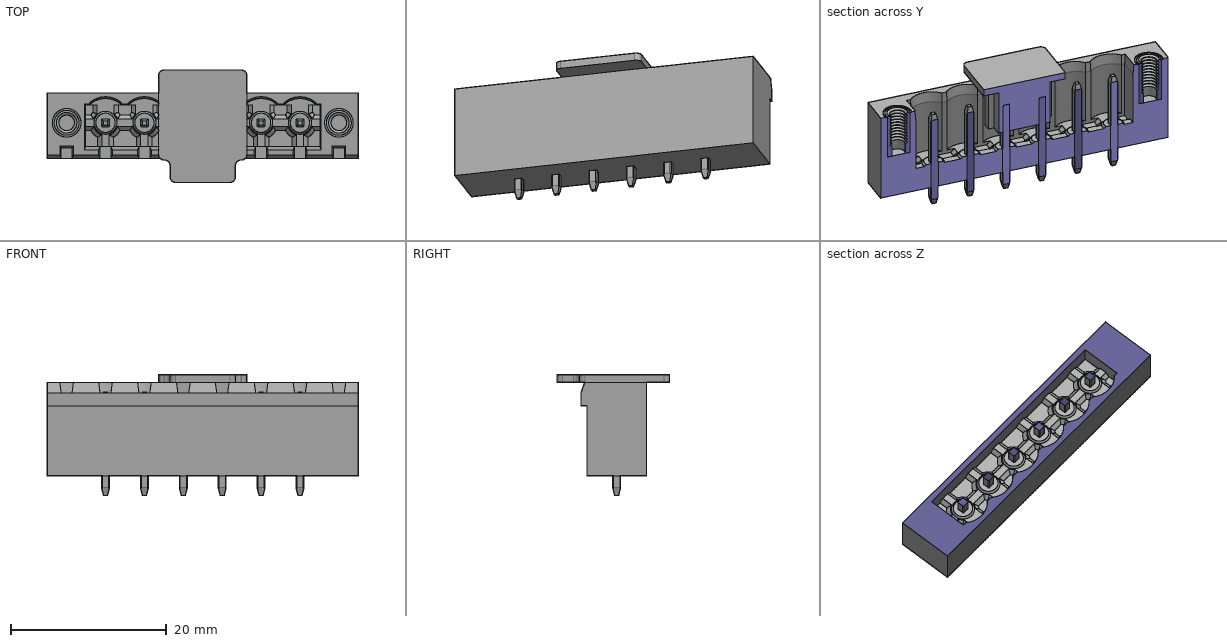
import cadquery as cq


PITCH = 5.0
PIN_COUNT = 6
PIN_XS = [(i - (PIN_COUNT - 1) / 2) * PITCH for i in range(PIN_COUNT)]
INSERT_X = (PIN_COUNT + 1) / 2 * PITCH
INSERT_XS = [-INSERT_X, INSERT_X]

HOUSING_LENGTH = (PIN_COUNT + 2) * PITCH
HOUSING_HEIGHT = 12
BODY_HALF_WIDTH = 3.85
LIP_FRONT = -4.6
LIP_BOTTOM = -3.0
LIP_BEVEL_WIDTH = 0.5
LIP_BEVEL_HEIGHT = 1.3

CAVITY_HALF_LENGTH = 15.1
CAVITY_BACK = 2.3
CAVITY_FRONT = -3.05
LEAD_IN_DEPTH = 1.35
LEAD_IN_SIDE = 0.1
LEAD_IN_BACK = 0.1
LEAD_IN_FRONT = 0.45
SCALLOP_RADIUS = 3.1
SCALLOP_MOUTH_RADIUS = 2.95
SCALLOP_MOUTH_Y = 0.4
SCALLOP_START_Y = 2
RIDGE_TOP = -8.6
RIDGE_HEIGHT = 0.5
CAVITY_FLOOR = RIDGE_TOP - RIDGE_HEIGHT

RIDGE_SLOPE_RUN = 0.5
RIDGE_HALF_TOP = 0.5
BACK_RIDGE_HALF_TOP = 1.1
BOSS_TOP_RADIUS = 1.6
COLLAR_BASE_RADIUS = 1.5
COLLAR_TOP_RADIUS = 1.25
COLLAR_HEIGHT = 0.25

NOTCH_TOP_WIDTH = 1.75
NOTCH_BOTTOM_WIDTH = 1.4
NOTCH_DEPTH = LIP_BEVEL_HEIGHT
NOTCH_BACK = -3.0
NOTCH_BACK_SLOPE = 0.25

PIN_WIDTH = 1.05
PIN_EDGE_CHAMFER = 0.1
PIN_TIP_WIDTH = 0.5
PIN_TIP_LENGTH = 1.05
PIN_TOP = -1.25
PIN_TAIL = 2.55
PIN_BOTTOM = -HOUSING_HEIGHT - PIN_TAIL

INSERT_DIAMETER = 3.2
INSERT_LENGTH = 6
INSERT_RECESS_DIAMETER = 3.7
INSERT_RECESS_DEPTH = 0.1
THREAD_MINOR_RADIUS = 1.0
THREAD_MAJOR_RADIUS = 1.3
BORE_MOUTH_RADIUS = 1.3
THREAD_PITCH = 0.45
THREAD_CREST_FLAT = 0.1
THREAD_TURNS = 10

CAP_THICKNESS = 1.0
CAP_WIDTH = 11.35
CAP_TAB_WIDTH = 8.4
CAP_BACK = 6.8
CAP_SHOULDER = -4.8
CAP_FRONT = -7.7
CAP_CORNER_RADIUS = 0.7
PLUG_DEPTH = 6
PLUG_BACK_WIDTH = 8.8
PLUG_FRONT_WIDTH = 7.2
PLUG_BACK = 2.25
PLUG_STEP = 1.05
PLUG_FRONT = -2.95


def box_between(x0, x1, y0, y1, z0, z1):
    """Box given by its limits along each axis."""
    return cq.Workplane("XY").box(x1 - x0, y1 - y0, z1 - z0, centered=False).translate((x0, y0, z0))


def cone(x, y, bottom, bottom_radius, top_radius, height):
    """Upright truncated cone standing on Z = bottom."""
    solid = cq.Solid.makeCone(bottom_radius, top_radius, height, cq.Vector(x, y, bottom))
    return cq.Workplane(obj=solid)


def rectangle_loft(bottom, top, bottom_z, top_z):
    """Solid between two level rectangles, each given as (x0, x1, y0, y1)."""
    wires = []
    for (x0, x1, y0, y1), z in ((bottom, bottom_z), (top, top_z)):
        corners = [(x0, y0, z), (x1, y0, z), (x1, y1, z), (x0, y1, z)]
        wires.append(cq.Wire.makePolygon([cq.Vector(*corner) for corner in corners], close=True))
    return cq.Workplane(obj=cq.Solid.makeLoft(wires, True))


def make_pin(x):
    """Square pin with chamfered long edges and a pyramid point at each end."""
    half = PIN_WIDTH / 2
    half_tip = PIN_TIP_WIDTH / 2
    shaft = (x - half, x + half, -half, half)
    tip = (x - half_tip, x + half_tip, -half_tip, half_tip)
    shaft_bottom = PIN_BOTTOM + PIN_TIP_LENGTH
    shaft_top = PIN_TOP - PIN_TIP_LENGTH
    pointed_bar = (
        box_between(*shaft, shaft_bottom, shaft_top)
        .union(rectangle_loft(tip, shaft, PIN_BOTTOM, shaft_bottom))
        .union(rectangle_loft(shaft, tip, shaft_top, PIN_TOP))
    )
    chamfered_bar = box_between(*shaft, PIN_BOTTOM, PIN_TOP).edges("|Z").chamfer(PIN_EDGE_CHAMFER)
    return pointed_bar.intersect(chamfered_bar)


def make_insert(x):
    """Tube flush with the housing top, its bore lined with ring-shaped thread grooves."""
    outer_radius = INSERT_DIAMETER / 2
    profile = [(outer_radius, -INSERT_LENGTH), (outer_radius, 0), (BORE_MOUTH_RADIUS, 0)]
    for turn in range(THREAD_TURNS):
        crest = -(turn + 0.5) * THREAD_PITCH
        profile.append((THREAD_MINOR_RADIUS, crest + THREAD_CREST_FLAT / 2))
        profile.append((THREAD_MINOR_RADIUS, crest - THREAD_CREST_FLAT / 2))
        profile.append((THREAD_MAJOR_RADIUS, crest - THREAD_PITCH / 2))
    profile.append((THREAD_MINOR_RADIUS, -(THREAD_TURNS + 0.5) * THREAD_PITCH))
    profile.append((THREAD_MINOR_RADIUS, -INSERT_LENGTH))
    tube = cq.Workplane("XZ").polyline(profile).close().revolve(360, (0, 0), (0, 1))
    return tube.translate((x, 0, 0))


def make_cap(pins):
    """Flat T-shaped plate with a stepped plug that fits over the middle pins."""
    half = CAP_WIDTH / 2
    half_tab = CAP_TAB_WIDTH / 2
    outline = [
        (-half, CAP_BACK), (-half, CAP_SHOULDER), (-half_tab, CAP_SHOULDER), (-half_tab, CAP_FRONT),
        (half_tab, CAP_FRONT), (half_tab, CAP_SHOULDER), (half, CAP_SHOULDER), (half, CAP_BACK),
    ]
    plate = cq.Workplane("XY").polyline(outline).close().extrude(CAP_THICKNESS)
    plate = plate.edges("|Z").fillet(CAP_CORNER_RADIUS)
    half_back = PLUG_BACK_WIDTH / 2
    half_front = PLUG_FRONT_WIDTH / 2
    cap = plate.union(box_between(-half_back, half_back, PLUG_STEP, PLUG_BACK, -PLUG_DEPTH, 0))
    cap = cap.union(box_between(-half_front, half_front, PLUG_FRONT, PLUG_STEP, -PLUG_DEPTH, 0))
    for pin in pins:
        cap = cap.cut(pin)
    return cap


def make_shell():
    """Solid block with a bevelled lip along its front top edge."""
    profile = [
        (BODY_HALF_WIDTH, -HOUSING_HEIGHT), (BODY_HALF_WIDTH, 0),
        (LIP_FRONT + LIP_BEVEL_WIDTH, 0), (LIP_FRONT, -LIP_BEVEL_HEIGHT), (LIP_FRONT, LIP_BOTTOM),
        (-BODY_HALF_WIDTH, LIP_BOTTOM), (-BODY_HALF_WIDTH, -HOUSING_HEIGHT),
    ]
    return cq.Workplane("YZ").polyline(profile).close().extrude(HOUSING_LENGTH / 2, both=True)


def make_cavity():
    """Rectangular pocket with a sloped lead-in at its mouth."""
    wall = (-CAVITY_HALF_LENGTH, CAVITY_HALF_LENGTH, CAVITY_FRONT, CAVITY_BACK)
    mouth_half_length = CAVITY_HALF_LENGTH + LEAD_IN_SIDE
    mouth = (-mouth_half_length, mouth_half_length, CAVITY_FRONT - LEAD_IN_FRONT, CAVITY_BACK + LEAD_IN_BACK)
    pocket = box_between(*wall, CAVITY_FLOOR, -LEAD_IN_DEPTH)
    return pocket.union(rectangle_loft(wall, mouth, -LEAD_IN_DEPTH, 0))


def make_scallop(x):
    """Round recess in the back wall behind one pin, with a slanted mouth."""
    depth = -RIDGE_TOP - LEAD_IN_DEPTH
    bore = cq.Workplane("XY", origin=(x, 0, RIDGE_TOP)).circle(SCALLOP_RADIUS).extrude(depth)
    up = cq.Vector(0, 0, 1)
    mouth_bottom = cq.Wire.makeCircle(SCALLOP_RADIUS, cq.Vector(x, 0, -LEAD_IN_DEPTH), up)
    mouth_top = cq.Wire.makeCircle(SCALLOP_MOUTH_RADIUS, cq.Vector(x, SCALLOP_MOUTH_Y, 0), up)
    mouth = cq.Workplane(obj=cq.Solid.makeLoft([mouth_bottom, mouth_top], True))
    behind_pin = box_between(x - PITCH, x + PITCH, SCALLOP_START_Y, BODY_HALF_WIDTH, RIDGE_TOP, 0)
    return bore.union(mouth).intersect(behind_pin)


def ridge_profile(plane, half_top):
    """Trapezoid standing on the cavity floor, drawn on a vertical plane."""
    half_base = half_top + RIDGE_SLOPE_RUN
    points = [
        (-half_base, CAVITY_FLOOR), (half_base, CAVITY_FLOOR),
        (half_top, RIDGE_TOP), (-half_top, RIDGE_TOP),
    ]
    return plane.polyline(points).close()


def make_row_ridge():
    """Ridge along the whole cavity, joining the bosses."""
    return ridge_profile(cq.Workplane("YZ"), RIDGE_HALF_TOP).extrude(CAVITY_HALF_LENGTH, both=True)


def make_boss(x):
    """Conical boss with a collar around one pin and ridges to the front and back walls."""
    section = cq.Workplane("XZ", origin=(x, 0, 0))
    front_ridge = ridge_profile(section, RIDGE_HALF_TOP).extrude(-CAVITY_FRONT)
    back_ridge = ridge_profile(section, BACK_RIDGE_HALF_TOP).extrude(-CAVITY_BACK)
    base_radius = BOSS_TOP_RADIUS + RIDGE_SLOPE_RUN
    boss = cone(x, 0, CAVITY_FLOOR, base_radius, BOSS_TOP_RADIUS, RIDGE_HEIGHT)
    collar = cone(x, 0, RIDGE_TOP, COLLAR_BASE_RADIUS, COLLAR_TOP_RADIUS, COLLAR_HEIGHT)
    return boss.union(front_ridge).union(back_ridge).union(collar)


def make_notch(x, back_slope):
    """Tapered notch through the lip; back_slope leans its back wall forward at the bottom."""
    half_top = NOTCH_TOP_WIDTH / 2
    half_bottom = NOTCH_BOTTOM_WIDTH / 2
    top = (x - half_top, x + half_top, LIP_FRONT, NOTCH_BACK)
    bottom = (x - half_bottom, x + half_bottom, LIP_FRONT, NOTCH_BACK - back_slope)
    return rectangle_loft(bottom, top, -NOTCH_DEPTH, 0)


def make_insert_pocket(x):
    """Blind hole for an insert, with a shallow wider recess at the top."""
    hole = (
        cq.Workplane("XY", origin=(x, 0, -INSERT_LENGTH))
        .circle(INSERT_DIAMETER / 2)
        .extrude(INSERT_LENGTH)
    )
    recess = (
        cq.Workplane("XY", origin=(x, 0, -INSERT_RECESS_DEPTH))
        .circle(INSERT_RECESS_DIAMETER / 2)
        .extrude(INSERT_RECESS_DEPTH)
    )
    return hole.union(recess)


def make_housing(pins):
    housing = make_shell().cut(make_cavity())
    for x in PIN_XS:
        housing = housing.cut(make_scallop(x))
    housing = housing.union(make_row_ridge())
    for x in PIN_XS:
        housing = housing.union(make_boss(x))
        housing = housing.cut(make_notch(x, 0))
    for x in INSERT_XS:
        housing = housing.cut(make_notch(x, NOTCH_BACK_SLOPE))
        housing = housing.cut(make_insert_pocket(x))
    for pin in pins:
        housing = housing.cut(pin)
    return housing


pins = [make_pin(x) for x in PIN_XS]
inserts = [make_insert(x) for x in INSERT_XS]
cap = make_cap(pins)
housing = make_housing(pins)

result = cq.Compound.makeCompound([
    housing.solids().val(),
    *[pin.solids().val() for pin in pins],
    *[insert.val() for insert in inserts],
    cap.solids().val(),
])